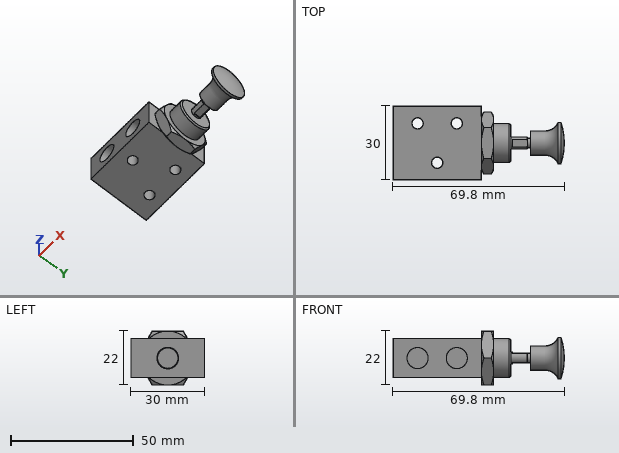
import cadquery as cq
import math

length = 69.8

block_length = 36.0
block_width = 30.0
block_height = 16.0

mount_hole_diameter = 4.5
mount_hole_offset = 8.0
port_diameter = 8.6
port_depth = 10.0
first_station = 10.0
second_station = 26.0
middle_station = (first_station + second_station) / 2

groove_outer_diameter = 8.8
plug_diameter = 8.3
groove_depth = 0.6

nut_thickness = 4.95
nut_across_flats = 22.0
nut_bevel_angle = 30.0

collar_diameter = 16.0
collar_end = 48.0
collar_chamfer = 0.6

stem_diameter = 5.0
stem_end = 54.75
stem_chamfer = 0.2
flats_start = 48.7
neck_diameter = 4.0
flats_spacing = neck_diameter

knob_start = 56.0
knob_diameter = 10.0
flare_start = 61.95
rim_start = 67.3
rim_end = 68.4
rim_diameter = 17.0


def cylinder(start, end, diameter):
    """Solid cylinder on the control axis between two X positions."""
    return cq.Workplane("YZ", origin=(start, 0, 0)).circle(diameter / 2).extrude(end - start)


def make_block():
    block = cq.Workplane("XY").box(block_length, block_width, block_height)
    block = block.translate((block_length / 2, 0, 0))
    hole_centres = [
        (first_station, mount_hole_offset),
        (second_station, mount_hole_offset),
        (middle_station, -mount_hole_offset),
    ]
    holes = (
        cq.Workplane("XY")
        .pushPoints(hole_centres)
        .circle(mount_hole_diameter / 2)
        .extrude(block_height, both=True)
    )
    ports = (
        cq.Workplane("XZ", origin=(0, -block_width / 2, 0))
        .pushPoints([(first_station, 0), (second_station, 0)])
        .circle(port_diameter / 2)
        .extrude(-port_depth)
    )
    return block.cut(holes).cut(ports)


def make_plug_groove():
    """Narrow ring with a straight outer wall and a conical inner wall."""
    outer_radius = groove_outer_diameter / 2
    return (
        cq.Workplane("XY")
        .moveTo(0, plug_diameter / 2)
        .lineTo(0, outer_radius)
        .lineTo(groove_depth, outer_radius)
        .close()
        .revolve(360, (0, 0, 0), (1, 0, 0))
    )


def make_nut():
    """Hexagon with flats facing +Z and -Z, bevelled at the corners of both faces."""
    corner_diameter = nut_across_flats / math.cos(math.pi / 6)
    corner_radius = corner_diameter / 2
    face_radius = nut_across_flats / 2
    bevel = (corner_radius - face_radius) * math.tan(math.radians(nut_bevel_angle))
    nut_end = block_length + nut_thickness
    hexagon = (
        cq.Workplane("YZ", origin=(block_length, 0, 0))
        .polygon(6, corner_diameter)
        .extrude(nut_thickness)
    )
    bevel_envelope = (
        cq.Workplane("XY")
        .moveTo(block_length, 0)
        .lineTo(block_length, face_radius)
        .lineTo(block_length + bevel, corner_radius)
        .lineTo(nut_end - bevel, corner_radius)
        .lineTo(nut_end, face_radius)
        .lineTo(nut_end, 0)
        .close()
        .revolve(360, (0, 0, 0), (1, 0, 0))
    )
    return hexagon.intersect(bevel_envelope)


def make_collar():
    collar = cylinder(block_length, collar_end, collar_diameter)
    return collar.faces(">X").chamfer(collar_chamfer)


def make_stem():
    stem = cylinder(collar_end, stem_end, stem_diameter)
    stem = stem.faces(">X").chamfer(stem_chamfer)
    round_part = cylinder(collar_end, flats_start, stem_diameter)
    flat_part = cq.Workplane("XY").box(length, stem_diameter, flats_spacing)
    flat_part = flat_part.translate((flats_start + length / 2, 0, 0))
    stem = stem.intersect(round_part.union(flat_part))
    neck = cylinder(collar_end, knob_start, neck_diameter)
    return stem.union(neck)


def make_knob():
    """Turned knob: cylindrical grip, concave flare, narrow rim and domed end."""
    grip_radius = knob_diameter / 2
    rim_radius = rim_diameter / 2
    return (
        cq.Workplane("XY")
        .moveTo(knob_start, 0)
        .lineTo(knob_start, grip_radius)
        .lineTo(flare_start, grip_radius)
        .tangentArcPoint((rim_start, rim_radius), relative=False)
        .lineTo(rim_end, rim_radius)
        .radiusArc((length, 0), dome_radius())
        .close()
        .revolve(360, (0, 0, 0), (1, 0, 0))
    )


def dome_radius():
    """Sphere radius of a dome that rises from the rim to the end of the knob."""
    rise = length - rim_end
    return ((rim_diameter / 2) ** 2 + rise ** 2) / (2 * rise)


result = make_block().cut(make_plug_groove())
for piece in (make_nut(), make_collar(), make_stem(), make_knob()):
    result = result.union(piece)